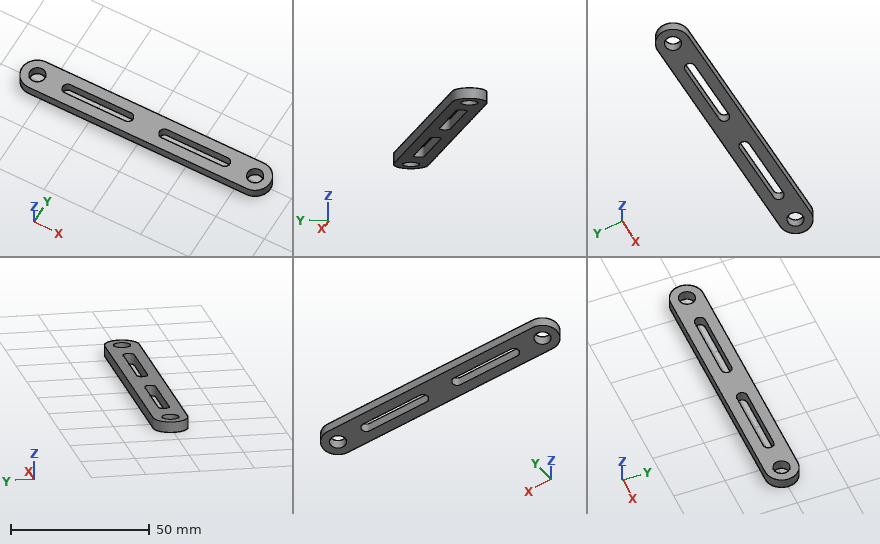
import cadquery as cq

bar_width = 12.7
bar_thickness = 4.0
hole_spacing = 90.0
bar_length = hole_spacing + bar_width

hole_diameter = 6.1

slot_width = 4.0
slot_travel = 25.0
slot_length = slot_travel + slot_width
slot_spacing = 40.0


def mirrored_pair(spacing):
    """Two points on the X axis, placed evenly about the origin."""
    return [(-spacing / 2, 0), (spacing / 2, 0)]


def make_bar():
    """Plate with rounded ends, centred in X and Y and resting on Z = 0."""
    return cq.Workplane("XY").slot2D(bar_length, bar_width).extrude(bar_thickness)


def make_end_holes():
    """Cutting cylinders at the centres of the rounded ends."""
    centres = cq.Workplane("XY").pushPoints(mirrored_pair(hole_spacing))
    return centres.circle(hole_diameter / 2).extrude(bar_thickness)


def make_slots():
    """Cutting bodies of the two through slots running along the bar."""
    centres = cq.Workplane("XY").pushPoints(mirrored_pair(slot_spacing))
    return centres.slot2D(slot_length, slot_width).extrude(bar_thickness)


result = make_bar().cut(make_end_holes()).cut(make_slots())